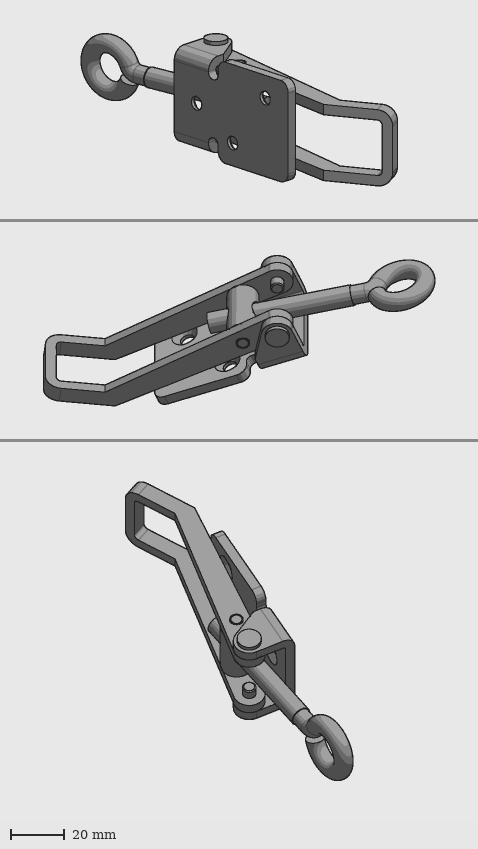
import cadquery as cq
import math


SHEET = 4.0
PLATE_END = 59.8
PLATE_WIDTH = 40.0
PLATE_CORNER_RADIUS = 4.0
EAR_LENGTH = 18.0
EAR_SPAN = 38.0
EAR_CORNER_Y = 8.0
BEND_INNER_RADIUS = 1.0
BEND_OUTER_RADIUS = BEND_INNER_RADIUS + SHEET
NOTCH_WIDTH = 5.0
MOUNTING_HOLE_DIAMETER = 5.3
MOUNTING_HOLE_LAND = 1.4
MOUNTING_COUNTERSINK_DIAMETER = 10.0
MOUNTING_HOLES = [(11.8, 0), (30.7, -11.0), (47.8, 11.0)]

OVERALL_HEIGHT = 22.0
EYE_RADIUS = 6.0
HINGE_X = EYE_RADIUS
HINGE_Y = OVERALL_HEIGHT - EYE_RADIUS
HINGE = (HINGE_X, HINGE_Y)
PIN_DIAMETER = 5.0
PIN_CHAMFER = 0.5
RIVET_HEAD_DIAMETER = 9.0
RIVET_HEAD_HEIGHT = 1.5
RIVET_TAIL_Z = 7.0

LEVER_WIDTH = EAR_SPAN - 2 * SHEET
LEVER_BAR = 4.1
LEVER_INNER_WIDTH = LEVER_WIDTH - 2 * LEVER_BAR
LEVER_KNEE_LOWER = (76.3, 2.1)
LEVER_KNEE_UPPER = (77.2, 9.9)
GRIP_ANGLE = 28.3
GRIP_LENGTH = 26.9
LEVER_CORNER_RADIUS = 6.0
LEVER_INNER_CORNER_RADIUS = LEVER_CORNER_RADIUS - LEVER_BAR

BARREL_X = 20.6
BARREL_Y = 13.7
BARREL_DIAMETER = 12.0
BARREL_COUNTERSINK_DIAMETER = 10.5

BOLT_TILT = 7.0
BOLT_ROLL = 4.2
ROD_DIAMETER = 8.0
ROD_FRONT = 12.8
ROD_REAR = -42.1
WIRE_DIAMETER = 7.2
RING_CENTRE = -60.7
RING_RADIUS = 9.5
RING_GAP_ANGLE = 19.0


def tangent_point(centre, radius, point, side):
    """Point where a line from `point` touches a circle; side +1 or -1 picks one of the two."""
    dx = point[0] - centre[0]
    dy = point[1] - centre[1]
    angle = math.atan2(dy, dx) + side * math.acos(radius / math.hypot(dx, dy))
    return (centre[0] + radius * math.cos(angle), centre[1] + radius * math.sin(angle))


def hinge_point(angle):
    """Point on the eye circle around the hinge, at an angle in degrees from +X."""
    a = math.radians(angle)
    return (HINGE_X + EYE_RADIUS * math.cos(a), HINGE_Y + EYE_RADIUS * math.sin(a))


def cylinder(x, y, diameter, z_from, z_to):
    """Cylinder along Z."""
    return (
        cq.Workplane("XY", origin=(x, y, z_from))
        .circle(diameter / 2)
        .extrude(z_to - z_from)
    )


def mounting_hole(x, z):
    """Hole through the plate, countersunk from the side of the lever."""
    hole_radius = MOUNTING_HOLE_DIAMETER / 2
    return (
        cq.Workplane("XY", origin=(x, 0, z))
        .lineTo(hole_radius, 0)
        .lineTo(hole_radius, MOUNTING_HOLE_LAND)
        .lineTo(MOUNTING_COUNTERSINK_DIAMETER / 2, SHEET)
        .lineTo(0, SHEET)
        .close()
        .revolve(360, (0, 0, 0), (0, 1, 0))
    )


def make_bracket():
    """Plate with two ears bent up, joined to the plate beside the notches."""
    channel = (
        cq.Workplane("XY")
        .box(EAR_LENGTH, OVERALL_HEIGHT, EAR_SPAN, centered=(False, False, True))
        .edges("|X and <Y")
        .fillet(BEND_OUTER_RADIUS)
    )
    channel_hollow = (
        cq.Workplane("XY", origin=(0, SHEET, 0))
        .box(EAR_LENGTH, OVERALL_HEIGHT, EAR_SPAN - 2 * SHEET, centered=(False, False, True))
        .edges("|X and <Y")
        .fillet(BEND_INNER_RADIUS)
    )
    ear_corner = (EAR_LENGTH, EAR_CORNER_Y)
    ear_outline = (
        cq.Workplane("XY")
        .lineTo(EAR_LENGTH, 0)
        .lineTo(*ear_corner)
        .lineTo(*tangent_point(HINGE, EYE_RADIUS, ear_corner, 1))
        .threePointArc(hinge_point(90), hinge_point(180))
        .close()
        .extrude(EAR_SPAN / 2, both=True)
    )
    ears = channel.cut(channel_hollow).intersect(ear_outline)

    plate_start = EAR_LENGTH + NOTCH_WIDTH
    plate = (
        cq.Workplane("XY", origin=(plate_start, 0, 0))
        .box(PLATE_END - plate_start, SHEET, PLATE_WIDTH, centered=(False, False, True))
        .edges("|Y")
        .fillet(PLATE_CORNER_RADIUS)
    )
    notch_z = EAR_SPAN / 2 - BEND_OUTER_RADIUS
    web = (
        cq.Workplane("XY", origin=(EAR_LENGTH, 0, 0))
        .box(NOTCH_WIDTH, SHEET, 2 * notch_z, centered=(False, False, True))
    )
    bracket = ears.union(plate).union(web)

    for side in (1, -1):
        notch = (
            cq.Workplane("XZ", origin=(EAR_LENGTH + NOTCH_WIDTH / 2, 0, side * notch_z))
            .circle(NOTCH_WIDTH / 2)
            .extrude(-SHEET)
        )
        bracket = bracket.cut(notch)

    for x, z in MOUNTING_HOLES:
        bracket = bracket.cut(mounting_hole(x, z))
    rivet_holes = cylinder(*HINGE, PIN_DIAMETER, -EAR_SPAN / 2, EAR_SPAN / 2)
    return bracket.cut(rivet_holes)


def make_lever():
    """Two cranked arms joined by a bar at the tip of the grip."""
    grip = math.radians(GRIP_ANGLE)
    along = (math.cos(grip), math.sin(grip))
    tip_lower = (
        LEVER_KNEE_LOWER[0] + GRIP_LENGTH * along[0],
        LEVER_KNEE_LOWER[1] + GRIP_LENGTH * along[1],
    )
    upper_length = (
        (tip_lower[0] - LEVER_KNEE_UPPER[0]) * along[0]
        + (tip_lower[1] - LEVER_KNEE_UPPER[1]) * along[1]
    )
    tip_upper = (
        LEVER_KNEE_UPPER[0] + upper_length * along[0],
        LEVER_KNEE_UPPER[1] + upper_length * along[1],
    )
    lever = (
        cq.Workplane("XY")
        .moveTo(*tangent_point(HINGE, EYE_RADIUS, LEVER_KNEE_LOWER, -1))
        .lineTo(*LEVER_KNEE_LOWER)
        .lineTo(*tip_lower)
        .lineTo(*tip_upper)
        .lineTo(*LEVER_KNEE_UPPER)
        .lineTo(*tangent_point(HINGE, EYE_RADIUS, LEVER_KNEE_UPPER, 1))
        .threePointArc(hinge_point(180), tangent_point(HINGE, EYE_RADIUS, LEVER_KNEE_LOWER, -1))
        .close()
        .extrude(LEVER_WIDTH / 2, both=True)
    )

    tip_plane = cq.Plane(
        origin=(tip_lower[0], tip_lower[1], 0), xDir=(0, 0, 1), normal=(along[0], along[1], 0)
    )
    tip_direction = cq.Vector(along[0], along[1], 0)
    across_grip = cq.Vector(-along[1], along[0], 0)
    lever = (
        lever.faces(cq.selectors.DirectionMinMaxSelector(tip_direction, True))
        .edges(cq.selectors.ParallelDirSelector(across_grip))
        .fillet(LEVER_CORNER_RADIUS)
    )

    reach = tip_lower[0] + EYE_RADIUS
    opening = (
        cq.Workplane(tip_plane)
        .workplane(offset=-LEVER_BAR)
        .rect(LEVER_INNER_WIDTH, 2 * reach)
        .extrude(-2 * reach)
        .faces(cq.selectors.DirectionMinMaxSelector(tip_direction, True))
        .edges(cq.selectors.ParallelDirSelector(across_grip))
        .fillet(LEVER_INNER_CORNER_RADIUS)
    )
    lever = lever.cut(opening)

    for x, y in (HINGE, (BARREL_X, BARREL_Y)):
        lever = lever.cut(cylinder(x, y, PIN_DIAMETER, -LEVER_WIDTH / 2, LEVER_WIDTH / 2))
    return lever


def make_rivet(side):
    """Headed rivet through one ear and one lever arm; side +1 is the upper one."""
    ear_face = EAR_SPAN / 2
    shank = cylinder(*HINGE, PIN_DIAMETER, RIVET_TAIL_Z, ear_face).faces("<Z").chamfer(PIN_CHAMFER)
    head = cylinder(*HINGE, RIVET_HEAD_DIAMETER, ear_face, ear_face + RIVET_HEAD_HEIGHT)
    rivet = shank.union(head)
    return rivet if side > 0 else rivet.mirror("XY")


def on_bolt_axis(shape):
    """Move a shape built along +X at the origin onto the tilted axis of the eye bolt."""
    return shape.rotate((0, 0, 0), (0, 0, 1), BOLT_TILT).translate((BARREL_X, BARREL_Y, 0))


def make_barrel():
    """Cross barrel with a journal at each end and a countersunk hole for the eye bolt."""
    half_body = LEVER_INNER_WIDTH / 2
    half_length = LEVER_WIDTH / 2
    journals = (
        cylinder(BARREL_X, BARREL_Y, PIN_DIAMETER, -half_length, half_length)
        .faces("<Z or >Z")
        .chamfer(PIN_CHAMFER)
    )
    body = cylinder(BARREL_X, BARREL_Y, BARREL_DIAMETER, -half_body, half_body)
    hole_radius = ROD_DIAMETER / 2
    mouth_radius = BARREL_COUNTERSINK_DIAMETER / 2
    mouth = BARREL_DIAMETER / 2
    throat = mouth - (mouth_radius - hole_radius)
    hole = (
        cq.Workplane("XY")
        .moveTo(-mouth, 0)
        .lineTo(-mouth, mouth_radius)
        .lineTo(-throat, hole_radius)
        .lineTo(throat, hole_radius)
        .lineTo(mouth, mouth_radius)
        .lineTo(mouth, 0)
        .close()
        .revolve(360, (0, 0, 0), (1, 0, 0))
    )
    return body.union(journals).cut(on_bolt_axis(hole))


def make_eye_bolt():
    """Rod with a thinner wire neck that bends into an open ring."""
    gap = math.radians(RING_GAP_ANGLE)
    ring_start = (
        RING_CENTRE + RING_RADIUS * math.cos(gap),
        RING_RADIUS * math.sin(gap),
    )
    ring_end = (ring_start[0], -ring_start[1])
    bend_radius = ring_start[1] / (1 - math.sin(gap))
    bend_centre = (ring_start[0] + bend_radius * math.cos(gap), bend_radius)
    bend_middle = (math.pi + gap + 1.5 * math.pi) / 2
    bend_midpoint = (
        bend_centre[0] + bend_radius * math.cos(bend_middle),
        bend_centre[1] + bend_radius * math.sin(bend_middle),
    )
    wire_path = (
        cq.Workplane("XZ")
        .moveTo(ROD_REAR, 0)
        .lineTo(bend_centre[0], 0)
        .threePointArc(bend_midpoint, ring_start)
        .threePointArc((RING_CENTRE - RING_RADIUS, 0), ring_end)
    )
    eye = (
        cq.Workplane("YZ", origin=(ROD_REAR, 0, 0))
        .circle(WIRE_DIAMETER / 2)
        .sweep(wire_path)
    )
    rod = (
        cq.Workplane("YZ", origin=(ROD_REAR, 0, 0))
        .circle(ROD_DIAMETER / 2)
        .extrude(ROD_FRONT - ROD_REAR)
    )
    rolled = rod.union(eye).rotate((0, 0, 0), (1, 0, 0), BOLT_ROLL)
    return on_bolt_axis(rolled)


bracket = make_bracket()
lever = make_lever()
rivets = [make_rivet(side) for side in (1, -1)]
barrel = make_barrel()
eye_bolt = make_eye_bolt()

result = cq.Compound.makeCompound(
    [
        bracket.val(),
        lever.val(),
        *[rivet.val() for rivet in rivets],
        barrel.val(),
        eye_bolt.val(),
    ]
)